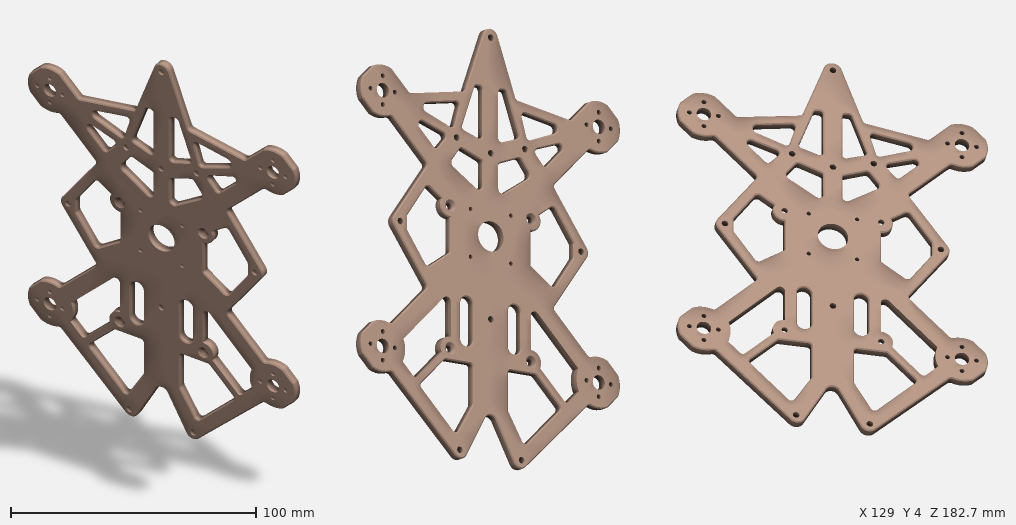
import cadquery as cq
import math

WIDTH = 129.0
THICKNESS = 4.0
EDGE_CHAMFER = 0.5

CENTRE_Z = 4.4
MOTOR_OFFSET = 53.7
MOTOR_PAD_RADIUS = WIDTH / 2 - MOTOR_OFFSET
MOTOR_PAD_HALF_FLATS = 10.2
MOTOR_BORE = 6.0
MOTOR_SCREW = 2.0
MOTOR_SCREW_CIRCLE_RADIUS = 6.0
ARM_WINDOW_PAD_RADIUS = 11.1
MOTOR_TOP_Z = CENTRE_Z + MOTOR_OFFSET
MOTOR_BOTTOM_Z = CENTRE_Z - MOTOR_OFFSET

ARM_EDGE_OFFSET = 3.8
ARM_CREST_REACH = 9.1
PAD_BLEND_RADIUS = 1.8

BOARD_HOLE = 1.8
BOARD_HOLE_OFFSET = 10.0
BOSS_X = 2 * BOARD_HOLE_OFFSET
BOSS_TOP_Z = CENTRE_Z + BOARD_HOLE_OFFSET
BOSS_BOTTOM_Z = -45.5
BOSS_RADIUS = 5.0
BOSS_HOLE = 2.5
BOSS_SINK = 5.1
BOSS_SINK_ANGLE = 82
MAIN_BORE = 12.6

FRAME_HOLE = 2.7
NOSE_RADIUS = 3.8
TAIL_RADIUS = 3.6
NOSE_HOLE_Z = 87.8
SPINE_HOLE_HIGH_Z = 39.2
SPINE_HOLE_LOW_Z = -30.5
SHOULDER_HOLE = (17.0, 43.5)
SIDE_HOLE_X = 44.9
TAIL_HOLE = (15.3, -87.5)

SLOT_X = 11.9
SLOT_Z = -33.0
SLOT_LENGTH = 20.8
SLOT_WIDTH = 6.2

STAR_SPINE_X = 4.0
TAIL_SPINE_X = 8.8
ARM_WINDOW_WALL_X = 19.9


def plate_thick(sketch):
    return sketch.extrude(THICKNESS / 2, both=True)


def rounded_polygon(corners):
    """Plate-thick prism from sharp corners (x, z, radius), each corner rounded to its radius."""
    starts = []
    mids = []
    ends = []
    for i, (x, z, radius) in enumerate(corners):
        before = cq.Vector(*corners[i - 1][:2])
        after = cq.Vector(*corners[(i + 1) % len(corners)][:2])
        corner = cq.Vector(x, z)
        to_before = (before - corner).normalized()
        to_after = (after - corner).normalized()
        half_angle = to_before.getAngle(to_after) / 2
        bisector = (to_before + to_after).normalized()
        setback = radius / math.tan(half_angle)
        starts.append((corner + to_before * setback).toTuple()[:2])
        ends.append((corner + to_after * setback).toTuple()[:2])
        depth = radius / math.sin(half_angle) - radius
        mids.append((corner + bisector * depth).toTuple()[:2])
    sketch = cq.Workplane("XZ").moveTo(*ends[-1])
    for start, mid, end in zip(starts, mids, ends):
        sketch = sketch.lineTo(*start)
        if start != end:
            sketch = sketch.threePointArc(mid, end)
    return plate_thick(sketch.close())


def discs(points, diameter):
    return plate_thick(cq.Workplane("XZ").pushPoints(points).circle(diameter / 2))


def both_sides(points):
    return [(side * x, z) for x, z in points for side in (1, -1)]


def with_mirror(solid):
    return solid.union(solid.mirror("YZ"))


def beside_motor(motor_z, inward, upward, radius=0):
    """Point stepped from a right-hand motor along (-1, -1) by inward and along (-1, 1) by upward."""
    x = MOTOR_OFFSET - (inward + upward) / math.sqrt(2)
    z = motor_z + (upward - inward) / math.sqrt(2)
    return (x, z, radius)


MOTORS = both_sides([(MOTOR_OFFSET, MOTOR_TOP_Z), (MOTOR_OFFSET, MOTOR_BOTTOM_Z)])
BOSSES = both_sides([(BOSS_X, BOSS_TOP_Z), (BOSS_X, BOSS_BOTTOM_Z)])


def outline():
    waist_x = 31.2
    waist_rise = 25.7
    waist_radius = 1.6
    nose_corner = (0, 99.1, NOSE_RADIUS)
    tail_notch = (0, -67.3, 3.1)
    right = [
        (12.8, 63.5, 1.8),
        beside_motor(MOTOR_TOP_Z, ARM_CREST_REACH, MOTOR_PAD_HALF_FLATS, 1.8),
        beside_motor(MOTOR_TOP_Z, 0, MOTOR_PAD_HALF_FLATS),
        beside_motor(MOTOR_TOP_Z, 0, -ARM_EDGE_OFFSET),
        (waist_x, CENTRE_Z + waist_rise, waist_radius),
        (49.5, CENTRE_Z, 3.6),
        (waist_x, CENTRE_Z - waist_rise, waist_radius),
        beside_motor(MOTOR_BOTTOM_Z, -ARM_EDGE_OFFSET, 0),
        beside_motor(MOTOR_BOTTOM_Z, 0, -ARM_EDGE_OFFSET),
        (14.0, -93.3, TAIL_RADIUS),
    ]
    left = [(-x, z, radius) for x, z, radius in reversed(right)]
    return rounded_polygon([nose_corner] + right + [tail_notch] + left)


def motor_pads():
    """Round pads, each trimmed by a square standing on its corner."""
    square_diagonal = 2 * math.sqrt(2) * MOTOR_PAD_HALF_FLATS
    squares = cq.Workplane("XZ").pushPoints(MOTORS).polygon(4, square_diagonal)
    return discs(MOTORS, 2 * MOTOR_PAD_RADIUS).intersect(plate_thick(squares))


def blank():
    """Outline with the motor pads, blended where the arm edges run into the pad circles."""
    plate = outline().union(motor_pads()).clean()
    reach = math.sqrt(MOTOR_PAD_RADIUS ** 2 - ARM_EDGE_OFFSET ** 2)
    corners = [
        beside_motor(MOTOR_TOP_Z, reach, -ARM_EDGE_OFFSET),
        beside_motor(MOTOR_BOTTOM_Z, -ARM_EDGE_OFFSET, reach),
        beside_motor(MOTOR_BOTTOM_Z, reach, -ARM_EDGE_OFFSET),
    ]
    for x, z in both_sides([corner[:2] for corner in corners]):
        nearest = cq.selectors.NearestToPointSelector((x, 0, z))
        plate = plate.edges(nearest).fillet(PAD_BLEND_RADIUS)
    return plate


def star_pockets():
    tall = [
        (STAR_SPINE_X, 66.8, 1.5),
        (7.7, 66.8, 1.5),
        (14.5, 47.6, 1.5),
        (STAR_SPINE_X, 44.2, 1.5),
    ]
    wing = [(15.0, 59.0, 1.5), (38.7, 54.8, 2.0), (18.5, 47.0, 1.5)]
    outer = [(21.2, 43.8, 1.6), (40.2, 50.2, 1.6), (27.0, 37.0, 1.5)]
    lower = [
        (STAR_SPINE_X, 35.5, 1.1),
        (14.8, 39.6, 1.6),
        (20.3, 32.3, 2.2),
        (STAR_SPINE_X, 21.7, 1.8),
    ]
    pockets = rounded_polygon(tall)
    for corners in (wing, outer, lower):
        pockets = pockets.union(rounded_polygon(corners))
    return pockets


def side_window():
    upper = [(BOSS_X, 9.5, 1.0), (31.4, 17.3, 1.8), (41.2, 3.1, 1.3)]
    corners = [(x, CENTRE_Z + rise, radius) for x, rise, radius in upper]
    corners += [(x, CENTRE_Z - rise, radius) for x, rise, radius in reversed(upper)]
    return rounded_polygon(corners).cut(discs(BOSSES, 2 * BOSS_RADIUS))


def tail_window():
    return rounded_polygon([
        (TAIL_SPINE_X, -50.4, 1.5),
        (22.6, -50.4, 1.5),
        (35.2, -63.0, 1.5),
        (17.0, -81.2, 1.6),
        (TAIL_SPINE_X, -67.3, 1.5),
    ])


def slot():
    return plate_thick(
        cq.Workplane("XZ").center(SLOT_X, SLOT_Z).slot2D(SLOT_LENGTH, SLOT_WIDTH, 90)
    )


def arm_window():
    window = rounded_polygon([
        (ARM_WINDOW_WALL_X, -21.2, 2.0),
        (48.4, -49.8, 0),
        (37.6, -60.5, 1.5),
        (ARM_WINDOW_WALL_X, -42.9, 0),
    ])
    return window.cut(discs(BOSSES, 2 * BOSS_RADIUS)).cut(discs(MOTORS, 2 * ARM_WINDOW_PAD_RADIUS))


def plain_holes():
    quarter_turns = [(1, 0), (0, 1), (-1, 0), (0, -1)]
    motor_screws = [
        (x + MOTOR_SCREW_CIRCLE_RADIUS * dx, z + MOTOR_SCREW_CIRCLE_RADIUS * dz)
        for x, z in MOTORS
        for dx, dz in quarter_turns
    ]
    board = both_sides([(BOARD_HOLE_OFFSET, CENTRE_Z + s * BOARD_HOLE_OFFSET) for s in (1, -1)])
    spine = [(0, NOSE_HOLE_Z), (0, SPINE_HOLE_HIGH_Z), (0, SPINE_HOLE_LOW_Z)]
    frame = spine + both_sides([SHOULDER_HOLE, (SIDE_HOLE_X, CENTRE_Z), TAIL_HOLE])
    holes = discs([(0, CENTRE_Z)], MAIN_BORE)
    for points, diameter in (
        (MOTORS, MOTOR_BORE),
        (motor_screws, MOTOR_SCREW),
        (board, BOARD_HOLE),
        (frame, FRAME_HOLE),
    ):
        holes = holes.union(discs(points, diameter))
    return holes


body = blank()
for pocket in (star_pockets(), side_window(), tail_window(), slot()):
    body = body.cut(with_mirror(pocket))
body = body.faces("<Y or >Y").edges().chamfer(EDGE_CHAMFER)

body = body.cut(with_mirror(arm_window())).cut(plain_holes())

front = cq.Workplane("XZ", origin=(0, -THICKNESS / 2, 0))
result = (
    body.copyWorkplane(front).pushPoints(BOSSES).cskHole(BOSS_HOLE, BOSS_SINK, BOSS_SINK_ANGLE)
)